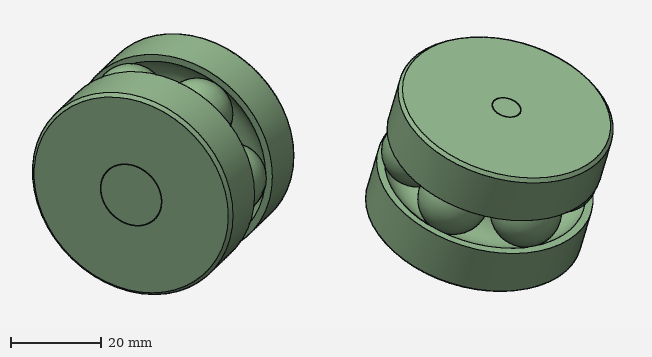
import cadquery as cq
import math


total_width = 33.3375
race_gap = 9.525
front_diameter = 49.21
back_diameter = 48.86
chamfer = 0.79

ball_count = 6
ball_diameter = 15.875
ball_circle_radius = 16.45

pin_diameter = 6.35
bore_diameter = 6.6
head_recess_diameter = 15.08
head_depth = 4.0
clearance = bore_diameter - pin_diameter
head_diameter = head_recess_diameter - clearance

half_width = total_width / 2
half_gap = race_gap / 2
race_thickness = half_width - half_gap


def cylinder_y(diameter, start, length):
    """Cylinder about the Y axis, running from Y = start towards +Y."""
    return cq.Workplane("XZ", origin=(0, start, 0)).circle(diameter / 2).extrude(-length)


def ball_track():
    """Ring swept by a ball travelling around the ball circle."""
    profile = cq.Workplane("XY").center(ball_circle_radius, 0).circle(ball_diameter / 2)
    return profile.revolve(360, (-ball_circle_radius, 0), (-ball_circle_radius, 1))


def make_race(diameter, start, outer_face):
    """Bored disc with a chamfered outer rim and a ball groove in its inner face."""
    disc = cylinder_y(diameter, start, race_thickness).faces(outer_face).chamfer(chamfer)
    bore = cylinder_y(bore_diameter, start, race_thickness)
    return disc.cut(bore).cut(ball_track())


def make_front_race():
    """Front race, with a recess that takes the pin head flush."""
    race = make_race(front_diameter, -half_width, "<Y")
    return race.cut(cylinder_y(head_recess_diameter, -half_width, head_depth))


def make_back_race():
    return make_race(back_diameter, half_gap, ">Y")


def make_pin():
    """Pin through both races, with a cylindrical head seated in the front race."""
    head = cylinder_y(head_diameter, -half_width, head_depth)
    return head.union(cylinder_y(pin_diameter, -half_width, total_width))


def make_ball(index):
    angle = math.radians(index * 360 / ball_count)
    centre_x = ball_circle_radius * math.cos(angle)
    centre_z = ball_circle_radius * math.sin(angle)
    return cq.Workplane("XY").sphere(ball_diameter / 2).translate((centre_x, 0, centre_z))


front_race = make_front_race()
back_race = make_back_race()
pin = make_pin()
balls = [make_ball(index) for index in range(ball_count)]

result = cq.Compound.makeCompound(
    [front_race.val(), back_race.val(), pin.val()] + [ball.val() for ball in balls]
)